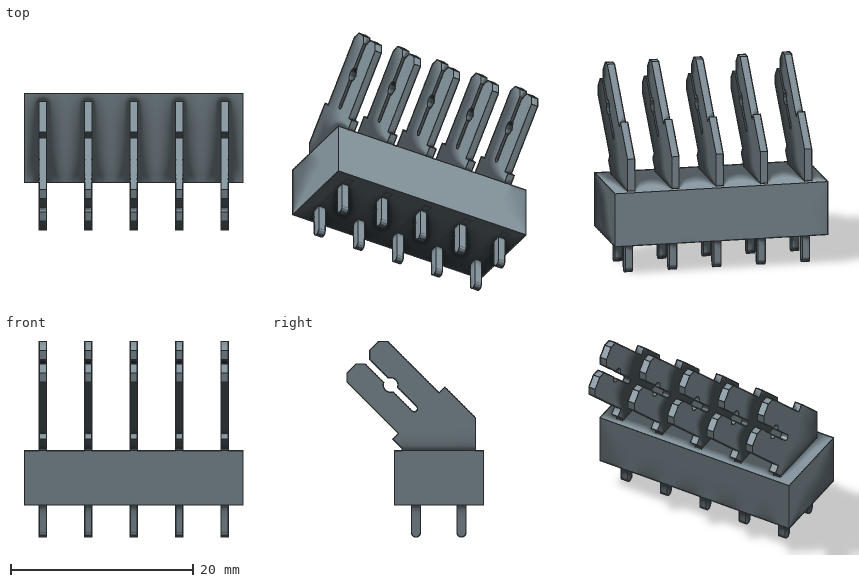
import cadquery as cq
import math

HOUSING_LENGTH = 24.0
HOUSING_DEPTH = 9.8
HOUSING_HEIGHT = 6.0

TERMINAL_COUNT = 5
TERMINAL_PITCH = 5.0
TERMINAL_THICKNESS = 0.82

NECK_WIDTH = 8.1
NECK_CENTRE_Y = -0.02
BEND_HEIGHT = 7.92
BEND_ANGLE = math.radians(45)

TAB_WIDTH = 6.3
SHOULDER_DISTANCE = 3.1
TAB_LENGTH = 11.78
TIP_CHAMFER = 0.7

SLOT_WIDTH = 0.7
SLOT_START = 3.45
SLOT_HOLE_DISTANCE = 7.46
SLOT_HOLE_DIAMETER = 1.58

LEG_WIDTH = 1.0
LEG_PITCH = 5.0
LEG_LENGTH = 3.5


def tab_point(across, along):
    """Return (Y, Z) of a point given across and along the tilted tab, from the bend centre."""
    y = NECK_CENTRE_Y + across * math.cos(BEND_ANGLE) - along * math.sin(BEND_ANGLE)
    z = BEND_HEIGHT + across * math.sin(BEND_ANGLE) + along * math.cos(BEND_ANGLE)
    return (y, z)


def extrude_blade(outline):
    """Give a closed YZ outline the blade thickness, centred on X = 0."""
    return outline.extrude(TERMINAL_THICKNESS / 2, both=True)


def make_blade():
    """Neck and tab as one bent plate with square shoulders, without slot or tip chamfers."""
    half_neck = NECK_WIDTH / 2
    half_tab = TAB_WIDTH / 2
    mitre_rise = half_neck * math.tan(BEND_ANGLE / 2)
    back_y = NECK_CENTRE_Y + half_neck
    front_y = NECK_CENTRE_Y - half_neck
    outline = cq.Workplane("YZ").polyline([
        (front_y, 0),
        (back_y, 0),
        (back_y, BEND_HEIGHT + mitre_rise),
        tab_point(half_neck, SHOULDER_DISTANCE),
        tab_point(half_tab, SHOULDER_DISTANCE),
        tab_point(half_tab, TAB_LENGTH),
        tab_point(-half_tab, TAB_LENGTH),
        tab_point(-half_tab, SHOULDER_DISTANCE),
        tab_point(-half_neck, SHOULDER_DISTANCE),
        (front_y, BEND_HEIGHT - mitre_rise),
    ]).close()
    return extrude_blade(outline)


def make_slot():
    """Round-bottomed slot, open at the tab tip, with the round hole on its centreline."""
    half_slot = SLOT_WIDTH / 2
    round_centre = SLOT_START + half_slot
    outline = (
        cq.Workplane("YZ")
        .moveTo(*tab_point(half_slot, TAB_LENGTH))
        .lineTo(*tab_point(half_slot, round_centre))
        .threePointArc(tab_point(0, SLOT_START), tab_point(-half_slot, round_centre))
        .lineTo(*tab_point(-half_slot, TAB_LENGTH))
        .close()
    )
    hole = (
        cq.Workplane("YZ")
        .moveTo(*tab_point(0, SLOT_HOLE_DISTANCE))
        .circle(SLOT_HOLE_DIAMETER / 2)
    )
    return extrude_blade(outline).union(extrude_blade(hole))


def make_tip_chamfer(corner_across, inward):
    """Corner wedge to cut from a prong tip; inward is the sign pointing into the prong."""
    outline = cq.Workplane("YZ").polyline([
        tab_point(corner_across, TAB_LENGTH),
        tab_point(corner_across + inward * TIP_CHAMFER, TAB_LENGTH),
        tab_point(corner_across, TAB_LENGTH - TIP_CHAMFER),
    ]).close()
    return extrude_blade(outline)


def make_leg(centre_y):
    """Leg hanging from Z = 0, with a fully rounded end."""
    half_leg = LEG_WIDTH / 2
    round_z = half_leg - LEG_LENGTH
    outline = (
        cq.Workplane("YZ")
        .moveTo(centre_y - half_leg, 0)
        .lineTo(centre_y - half_leg, round_z)
        .threePointArc((centre_y, -LEG_LENGTH), (centre_y + half_leg, round_z))
        .lineTo(centre_y + half_leg, 0)
        .close()
    )
    return extrude_blade(outline)


def make_terminal():
    """One complete terminal, centred on X = 0."""
    terminal = make_blade().cut(make_slot())
    for side in (-1, 1):
        terminal = terminal.cut(make_tip_chamfer(side * TAB_WIDTH / 2, -side))
        terminal = terminal.cut(make_tip_chamfer(side * SLOT_WIDTH / 2, side))
        terminal = terminal.union(make_leg(NECK_CENTRE_Y + side * LEG_PITCH / 2))
    return terminal


def make_housing(terminal_positions):
    """Block with one through slot per terminal, fitting the neck."""
    block = cq.Workplane("XY").box(
        HOUSING_LENGTH, HOUSING_DEPTH, HOUSING_HEIGHT, centered=(True, True, False)
    )
    for x in terminal_positions:
        neck_slot = (
            cq.Workplane("XY")
            .box(TERMINAL_THICKNESS, NECK_WIDTH, HOUSING_HEIGHT, centered=(True, True, False))
            .translate((x, NECK_CENTRE_Y, 0))
        )
        block = block.cut(neck_slot)
    return block


terminal_positions = [
    (index - (TERMINAL_COUNT - 1) / 2) * TERMINAL_PITCH for index in range(TERMINAL_COUNT)
]
housing = make_housing(terminal_positions)
terminals = []
for x in terminal_positions:
    terminals.append(make_terminal().translate((x, 0, 0)).val())

result = cq.Compound.makeCompound([housing.val(), *terminals])